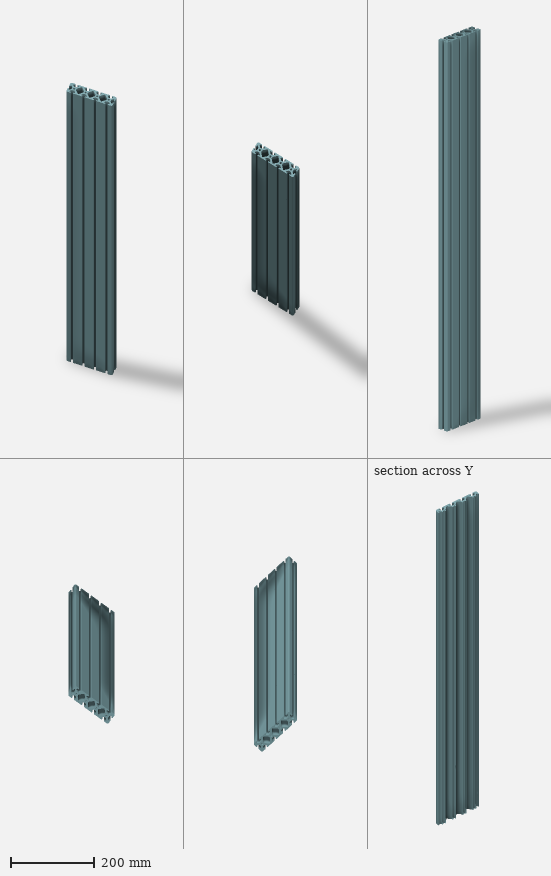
import cadquery as cq
import math

width = 120.0
depth = 30.0
length = 1000.0
corner_radius = 3.6

cell_size = depth
cell_count = round(width / cell_size)
web_thickness = 4.2
core_bore = 5.0

slot_opening = 6.2
slot_depth = 9.2
lip_thickness = 3.0
lip_rounding = 1.0
undercut_width = 14.0
undercut_rounding = 1.0

hollow_height = 23.0
hollow_side_radius = 5.0

half_cell = cell_size / 2
cell_centres = [(i - (cell_count - 1) / 2) * cell_size for i in range(cell_count)]
web_offset = web_thickness / math.sqrt(2)


def t_slot(angle):
    """T-slot cutter centred on a cell, opening toward +Y and then turned by the angle."""
    mouth = slot_opening / 2
    undercut = undercut_width / 2
    lip = half_cell - lip_thickness
    floor = half_cell - slot_depth
    right = [
        (mouth + lip_rounding, half_cell),
        (mouth, half_cell - lip_rounding),
        (mouth, lip),
        (undercut - undercut_rounding, lip),
        (undercut, lip - undercut_rounding),
        (undercut, undercut + web_offset),
        (floor - web_offset, floor),
    ]
    left = [(-x, y) for x, y in reversed(right)]
    cutter = (
        cq.Workplane("XY")
        .moveTo(*right[0])
        .radiusArc(right[1], -lip_rounding)
        .lineTo(*right[2])
        .lineTo(*right[3])
        .radiusArc(right[4], undercut_rounding)
        .polyline(right[5:] + left[:3], includeCurrent=True)
        .radiusArc(left[3], undercut_rounding)
        .lineTo(*left[4])
        .lineTo(*left[5])
        .radiusArc(left[6], -lip_rounding)
        .close()
        .extrude(length)
    )
    return cutter.rotate((0, 0, 0), (0, 0, 1), angle)


def hollow():
    """Hollow cutter with flat ends, 45 degree flanks and rounded sides."""
    top = hollow_height / 2
    flank_reach = half_cell - web_offset
    top_half_width = flank_reach - top
    tangent_y = hollow_side_radius / math.sqrt(2)
    tangent_x = flank_reach - tangent_y
    return (
        cq.Workplane("XY")
        .moveTo(-top_half_width, top)
        .lineTo(top_half_width, top)
        .lineTo(tangent_x, tangent_y)
        .radiusArc((tangent_x, -tangent_y), hollow_side_radius)
        .lineTo(top_half_width, -top)
        .lineTo(-top_half_width, -top)
        .lineTo(-tangent_x, -tangent_y)
        .radiusArc((-tangent_x, tangent_y), hollow_side_radius)
        .close()
        .extrude(length)
    )


profile = cq.Workplane("XY").rect(width, depth).extrude(length).edges("|Z").fillet(corner_radius)

slot_places = [(x, angle) for x in cell_centres for angle in (0, 180)]
slot_places += [(cell_centres[0], 90), (cell_centres[-1], -90)]
for x, angle in slot_places:
    profile = profile.cut(t_slot(angle).translate((x, 0, 0)))

for x in cell_centres[:-1]:
    profile = profile.cut(hollow().translate((x + half_cell, 0, 0)))

bore = cq.Workplane("XY").circle(core_bore / 2).extrude(length)
for x in cell_centres:
    profile = profile.cut(bore.translate((x, 0, 0)))

result = profile.solids()